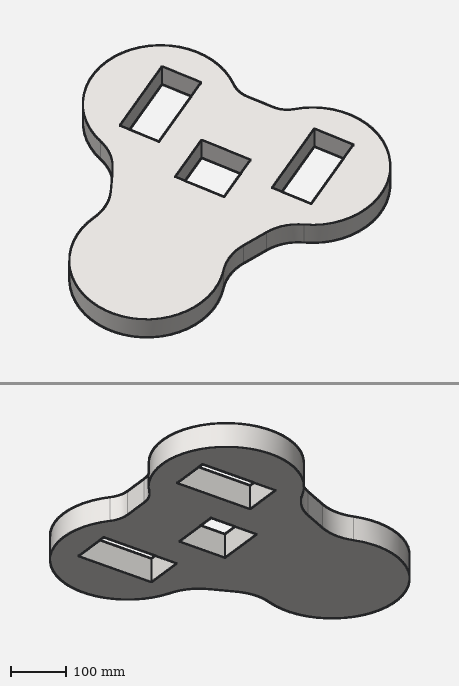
import cadquery as cq
import math

THICKNESS = 50.0
LOBE_RADIUS = 140.0

UPPER_LOBE_REACH = 180.0
UPPER_LOBE_ANGLE = math.radians(30.0)
LOWER_LOBE_REACH = 250.0

FLANK_DISTANCE = 180.0
TOP_BLEND_RADIUS = 53.0
SIDE_BLEND_RADIUS = 94.0

SQUARE_WINDOW_SIDE = 100.0
SLOT_WIDTH = 80.0
SLOT_LENGTH = 160.0

upper_x = UPPER_LOBE_REACH * math.cos(UPPER_LOBE_ANGLE)
upper_y = UPPER_LOBE_REACH * math.sin(UPPER_LOBE_ANGLE)
RIGHT_LOBE = cq.Vector(upper_x, upper_y)
LEFT_LOBE = cq.Vector(-upper_x, upper_y)
LOWER_LOBE = cq.Vector(0, -LOWER_LOBE_REACH)


def blend_points(lobe, along, outward, blend_radius):
    """Lobe tangency, middle and flank tangency of the concave arc joining a lobe to a flank.

    `along` points from the lobe centre down the flank and `outward` away from the origin.
    """
    flank_offset = FLANK_DISTANCE - lobe.dot(outward)
    center_distance = LOBE_RADIUS + blend_radius
    center_offset = flank_offset + blend_radius
    center_run = math.sqrt(center_distance**2 - center_offset**2)
    center = lobe + along * center_run + outward * center_offset

    to_lobe = (lobe - center).normalized()
    to_flank = outward * -1
    to_middle = (to_lobe + to_flank).normalized()
    return [center + direction * blend_radius for direction in (to_lobe, to_middle, to_flank)]


def add_neck(outline, start_lobe, end_lobe, blend_radius):
    """Continue the outline counter-clockwise from one lobe to the next, up to the next lobe's edge."""
    along = (end_lobe - start_lobe).normalized()
    outward = cq.Vector(along.y, -along.x)
    lobe_exit, exit_middle, flank_start = blend_points(start_lobe, along, outward, blend_radius)
    lobe_entry, entry_middle, flank_end = blend_points(end_lobe, along * -1, outward, blend_radius)

    lobe_tip = start_lobe + start_lobe.normalized() * LOBE_RADIUS
    return (
        outline.threePointArc(lobe_tip, lobe_exit)
        .threePointArc(exit_middle, flank_start)
        .lineTo(flank_end.x, flank_end.y)
        .threePointArc(entry_middle, lobe_entry)
    )


def make_plate():
    necks = [
        (RIGHT_LOBE, LEFT_LOBE, TOP_BLEND_RADIUS),
        (LEFT_LOBE, LOWER_LOBE, SIDE_BLEND_RADIUS),
        (LOWER_LOBE, RIGHT_LOBE, SIDE_BLEND_RADIUS),
    ]
    along = (LOWER_LOBE - RIGHT_LOBE).normalized()
    outward = cq.Vector(-along.y, along.x)
    start = blend_points(RIGHT_LOBE, along, outward, SIDE_BLEND_RADIUS)[0]

    outline = cq.Workplane("XY").moveTo(start.x, start.y)
    for start_lobe, end_lobe, blend_radius in necks:
        outline = add_neck(outline, start_lobe, end_lobe, blend_radius)
    return outline.close().extrude(THICKNESS)


def make_window(center_x, center_y, width, length):
    return cq.Workplane("XY").center(center_x, center_y).rect(width, length).extrude(THICKNESS)


result = make_plate().cut(make_window(0, 0, SQUARE_WINDOW_SIDE, SQUARE_WINDOW_SIDE))
for slot_lobe in (LEFT_LOBE, RIGHT_LOBE):
    result = result.cut(make_window(slot_lobe.x, slot_lobe.y, SLOT_WIDTH, SLOT_LENGTH))